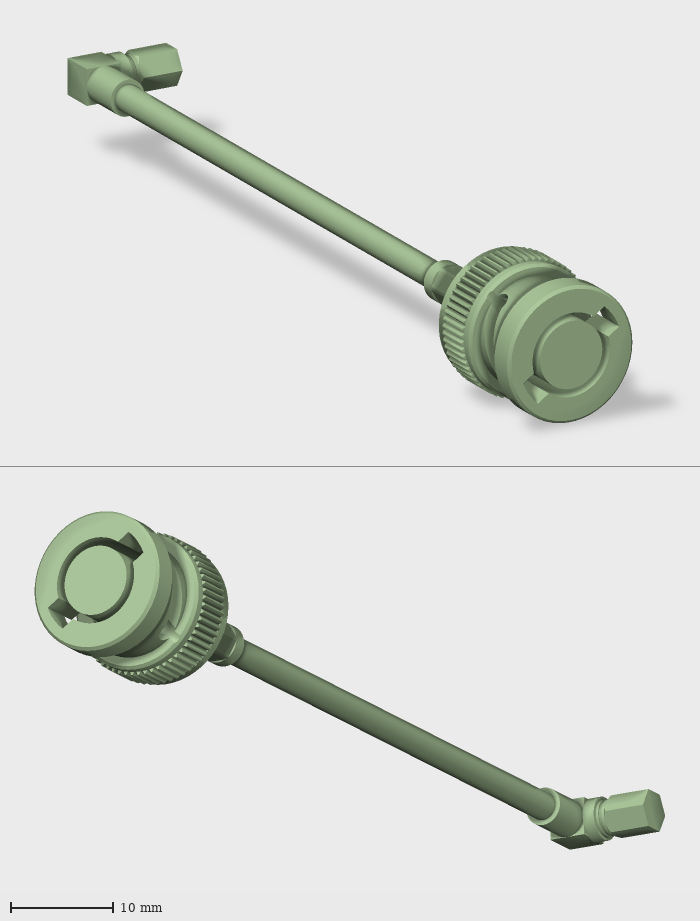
import cadquery as cq
import math


elbow_nut_across_flats = 3.78
elbow_nut_across_corners = elbow_nut_across_flats / math.cos(math.radians(30))
elbow_axis_x = elbow_nut_across_corners / 2
elbow_block_size = 3.8
elbow_neck_radius = 1.85
elbow_groove_depth = 0.15
elbow_groove_width = 0.35
elbow_ring_radius = elbow_nut_across_corners / 2
elbow_ring_end_y = 3.15
elbow_nut_start_y = 4.15
elbow_nut_end_y = 8.71
elbow_nut_chamfer = 0.3
elbow_sleeve_radius = elbow_block_size / 2
elbow_sleeve_end_x = 8.75

cable_radius = 1.4
cable_end_x = 70.7

crimp_radius = 2.08
crimp_across_flats = 3.75
crimp_hex_start_x = 72.2
crimp_hex_end_x = 78.6
disc_start_x = 80.5
disc_end_x = 81.35
disc_radius = 5.2
disc_chamfer = 0.45
core_radius = 3.5

total_length = 96.09
collar_radius = 6.9
collar_end_x = 88.2
collar_back_chamfer_length = 0.75
collar_back_chamfer_depth = 0.5
collar_front_chamfer = 0.3
knurl_radius = 7.234
knurl_root_radius = 6.65
knurl_start_x = 83.15
knurl_end_x = 87.1
knurl_chamfer = 0.25
knurl_count = 60
knurl_groove_fraction = 0.8
barrel_radius = 5.75
socket_radius = 4.35
socket_start_x = 87.5
rim_radius = 7.05
rim_start_x = 92.85
rim_back_chamfer = 0.5
rim_front_chamfer = 0.3

slot_count = 2
slot_width_x = 1.7
detent_x = 89.1
detent_angle = 45
detent_radius = 1.0
slot_top_z = barrel_radius * math.sin(math.radians(detent_angle))
slot_bottom_x = 91.1
slot_bottom_z = -3.9
entry_start_x = 90.45
entry_angle = -35
entry_width = 2.9


def rod(start_x, end_x, radius):
    """Cylinder on the X axis."""
    return cq.Workplane("YZ", origin=(start_x, 0, 0)).circle(radius).extrude(end_x - start_x)


def elbow_rod(start_y, end_y, radius):
    """Cylinder on the opening axis of the right-angle plug."""
    base = cq.Workplane("XZ", origin=(elbow_axis_x, start_y, 0))
    return base.circle(radius).extrude(start_y - end_y)


def make_elbow():
    half_block = elbow_block_size / 2
    block = cq.Workplane("XY").box(elbow_block_size, elbow_block_size, elbow_block_size)
    block = block.translate((elbow_axis_x, 0, 0))
    sleeve = rod(elbow_axis_x + half_block, elbow_sleeve_end_x, elbow_sleeve_radius)
    ring = elbow_rod(half_block, elbow_ring_end_y, elbow_ring_radius)
    neck = elbow_rod(elbow_ring_end_y, elbow_nut_start_y, elbow_neck_radius)

    groove_start_y = (elbow_ring_end_y + elbow_nut_start_y - elbow_groove_width) / 2
    groove_end_y = groove_start_y + elbow_groove_width
    groove = elbow_rod(groove_start_y, groove_end_y, elbow_ring_radius)
    groove = groove.cut(elbow_rod(groove_start_y, groove_end_y, elbow_neck_radius - elbow_groove_depth))
    neck = neck.cut(groove)

    nut = cq.Workplane("XZ", origin=(elbow_axis_x, elbow_nut_start_y, 0))
    nut = nut.polygon(6, elbow_nut_across_corners).extrude(elbow_nut_start_y - elbow_nut_end_y)
    turned = elbow_rod(elbow_nut_start_y, elbow_nut_end_y, elbow_nut_across_corners / 2)
    turned = turned.faces("<Y").chamfer(elbow_nut_chamfer)
    nut = nut.intersect(turned)
    return block.union(sleeve).union(ring).union(neck).union(nut)


def make_cable():
    return rod(elbow_sleeve_end_x, cable_end_x, cable_radius)


def make_plug_body():
    crimp = rod(cable_end_x, disc_start_x, crimp_radius)
    hex_length = crimp_hex_end_x - crimp_hex_start_x
    across_corners = crimp_across_flats / math.cos(math.radians(30))
    hex_zone = rod(crimp_hex_start_x, crimp_hex_end_x, crimp_radius)
    hexagon = cq.Workplane("YZ", origin=(crimp_hex_start_x, 0, 0))
    hexagon = hexagon.polygon(6, across_corners).extrude(hex_length)
    crimp = crimp.cut(hex_zone.cut(hexagon))

    disc = rod(disc_start_x, disc_end_x, disc_radius).faces("<X").chamfer(disc_chamfer)
    core = rod(disc_end_x, total_length, core_radius)
    return crimp.union(disc).union(core)


def make_knurl():
    """Ring of straight teeth with narrow flat crests and V grooves between them."""
    pitch = 2 * math.pi / knurl_count
    half_groove = pitch * knurl_groove_fraction / 2
    points = []
    for index in range(knurl_count):
        root = index * pitch
        for angle, radius in (
            (root - half_groove, knurl_radius),
            (root, knurl_root_radius),
            (root + half_groove, knurl_radius),
        ):
            points.append((radius * math.cos(angle), radius * math.sin(angle)))
    teeth = cq.Workplane("YZ", origin=(knurl_start_x, 0, 0)).polyline(points).close()
    teeth = teeth.extrude(knurl_end_x - knurl_start_x)
    envelope = rod(knurl_start_x, knurl_end_x, knurl_radius).faces("<X").chamfer(knurl_chamfer)
    return teeth.intersect(envelope)


def make_slot_cutter():
    """Bayonet slot on the -Y side: round detent, slanted run and straight entry to the front."""
    reach = knurl_radius
    half_width = slot_width_x / 2
    run = (
        cq.Workplane("XZ")
        .moveTo(detent_x - half_width, slot_top_z)
        .lineTo(detent_x + half_width, slot_top_z)
        .lineTo(slot_bottom_x + half_width, slot_bottom_z)
        .lineTo(slot_bottom_x - half_width, slot_bottom_z)
        .close()
        .extrude(reach)
    )
    detent = cq.Workplane("XZ").center(detent_x, 0).circle(detent_radius).extrude(reach)
    detent = detent.rotate((0, 0, 0), (1, 0, 0), -detent_angle)
    entry_length = total_length - entry_start_x
    entry = cq.Workplane("XZ").center(entry_start_x + entry_length / 2, 0)
    entry = entry.rect(entry_length, entry_width).extrude(reach)
    entry = entry.rotate((0, 0, 0), (1, 0, 0), -entry_angle)
    entry = entry.intersect(rod(entry_start_x, total_length, barrel_radius))
    return run.union(detent).union(entry)


def make_shell():
    back = (
        cq.Workplane("XY")
        .moveTo(disc_end_x, 0)
        .lineTo(disc_end_x, collar_radius - collar_back_chamfer_depth)
        .lineTo(disc_end_x + collar_back_chamfer_length, collar_radius)
        .lineTo(knurl_start_x, collar_radius)
        .lineTo(knurl_start_x, 0)
        .close()
        .revolve(360, (0, 0, 0), (1, 0, 0))
    )
    front = rod(knurl_end_x, collar_end_x, collar_radius).faces(">X").chamfer(collar_front_chamfer)
    barrel = rod(collar_end_x, rim_start_x, barrel_radius)
    rim = rod(rim_start_x, total_length, rim_radius)
    rim = rim.faces("<X").chamfer(rim_back_chamfer).faces(">X").chamfer(rim_front_chamfer)
    shell = back.union(make_knurl()).union(front).union(barrel).union(rim)
    shell = shell.cut(rod(disc_end_x, socket_start_x, core_radius))
    shell = shell.cut(rod(socket_start_x, total_length, socket_radius))
    slot = make_slot_cutter()
    for index in range(slot_count):
        shell = shell.cut(slot.rotate((0, 0, 0), (1, 0, 0), index * 360 / slot_count))
    return shell


elbow = make_elbow()
cable = make_cable()
plug_body = make_plug_body()
shell = make_shell()

result = cq.Compound.makeCompound([elbow.val(), cable.val(), plug_body.val(), shell.val()])